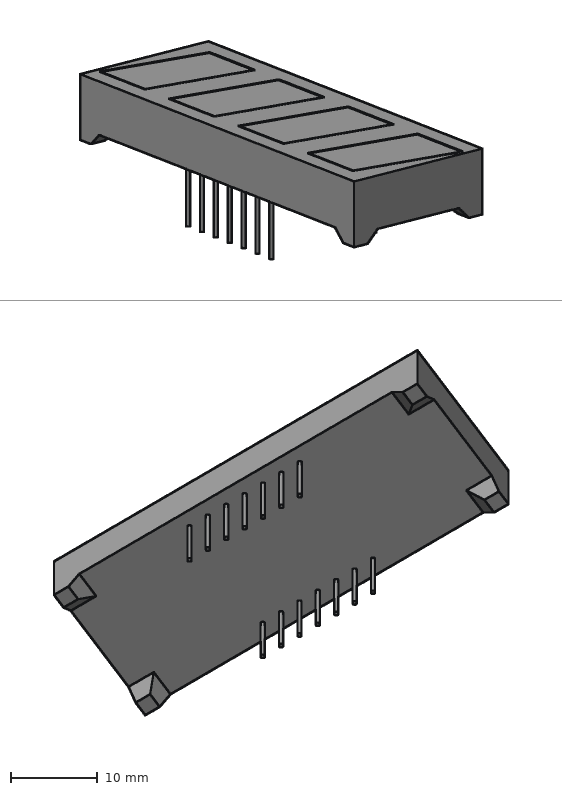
import cadquery as cq
import math

body_length = 50.2
body_width = 19.0
total_height = 14.3
body_height = 8.0

foot_height = 1.5
foot_size = 2.0
channel_slope = 45.0

digit_count = 4
digit_pitch = 12.7
digit_width = 8.25
digit_height = 14.2
digit_slant = 10.0
digit_depth = 0.1

pin_diameter = 0.5
pin_pitch = 2.54
pins_per_row = 7
pin_row_spacing = 15.24

underside_z = foot_height
pin_tip_z = body_height - total_height


def centred_positions(count, pitch):
    """Evenly spaced positions centred on zero."""
    return [(index - (count - 1) / 2) * pitch for index in range(count)]


def underside_channel(plane, span, length):
    """Trapezoidal channel across the underside, wider at the bottom; span is the body side it crosses."""
    half_bottom = span / 2 - foot_size
    half_top = half_bottom - foot_height / math.tan(math.radians(channel_slope))
    return (
        cq.Workplane(plane)
        .moveTo(-half_bottom, 0)
        .lineTo(half_bottom, 0)
        .lineTo(half_top, foot_height)
        .lineTo(-half_top, foot_height)
        .close()
        .extrude(length / 2, both=True)
    )


def make_body():
    block = cq.Workplane("XY").box(body_length, body_width, body_height, centered=(True, True, False))
    channel_along_y = underside_channel("XZ", body_length, body_width)
    channel_along_x = underside_channel("YZ", body_width, body_length)
    return block.cut(channel_along_y).cut(channel_along_x)


def digit_window(x_centre):
    """Slanted parallelogram recess, leaning towards +X at the top of the digit."""
    half_width = digit_width / 2
    half_height = digit_height / 2
    lean = half_height * math.tan(math.radians(digit_slant))
    return (
        cq.Workplane("XY", origin=(x_centre, 0, body_height - digit_depth))
        .moveTo(-half_width - lean, -half_height)
        .lineTo(half_width - lean, -half_height)
        .lineTo(half_width + lean, half_height)
        .lineTo(-half_width + lean, half_height)
        .close()
        .extrude(digit_depth)
    )


def make_pins():
    pin_centres = [
        (x, y)
        for y in (-pin_row_spacing / 2, pin_row_spacing / 2)
        for x in centred_positions(pins_per_row, pin_pitch)
    ]
    return (
        cq.Workplane("XY", origin=(0, 0, pin_tip_z))
        .pushPoints(pin_centres)
        .circle(pin_diameter / 2)
        .extrude(underside_z - pin_tip_z)
    )


body = make_body()
for digit_x in centred_positions(digit_count, digit_pitch):
    body = body.cut(digit_window(digit_x))

result = body.union(make_pins())